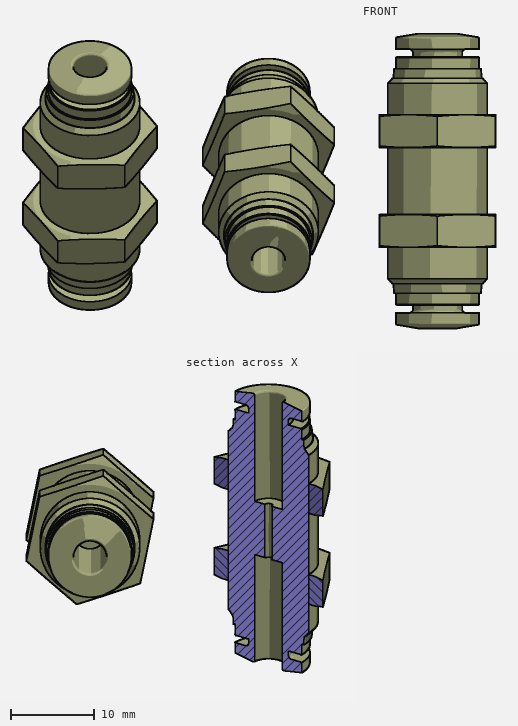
import cadquery as cq
import math

length = 35.5
half_length = length / 2

rim_diameter = 10.0
crown_height = 0.45
rim_edge_radius = 0.18
rim_bottom_depth = 1.88
neck_diameter = 5.95
neck_flare_radius = 0.43

collar_diameter = 10.0
collar_edge_diameter = 9.75
collar_edge_height = 0.1
collar_top_depth = 2.8
shoulder_top_depth = 4.22
shoulder_top_diameter = 10.47
shoulder_base_diameter = 10.7

barrel_diameter = 12.0
barrel_end_diameter = 10.8
barrel_end_depth = 5.35
barrel_chamfer_height = 0.65

socket_diameter = 3.98
socket_mouth_radius = 0.32
socket_mouth_diameter = socket_diameter + 2 * socket_mouth_radius
socket_depth = 14.2
passage_diameter = 1.0

nut_across_flats = 14.0
nut_across_corners = nut_across_flats / math.cos(math.pi / 6)
nut_height = 3.98
nut_top_depth = 9.75
nut_face_diameter = 13.7
nut_corner_drop = 0.2
nut_offset = half_length - nut_top_depth - nut_height / 2


def revolve_mirrored(upper_points):
    """Solid of revolution about Z, from an outline above the mid-plane and its mirror image."""
    lower_points = [(radius, -height) for radius, height in reversed(upper_points)]
    outline = upper_points + lower_points
    first_height = outline[0][1]
    return (
        cq.Workplane("XZ")
        .polyline([(0, first_height), *outline, (0, -first_height)])
        .close()
        .revolve(360, (0, 0, 0), (0, 1, 0))
    )


def make_end_profile():
    """Radius and height points of the upper half, from its mouth to the barrel."""
    diameters_and_depths = [
        (socket_mouth_diameter, 0),
        (rim_diameter, crown_height),
        (rim_diameter, rim_bottom_depth),
        (neck_diameter, rim_bottom_depth),
        (neck_diameter, collar_top_depth),
        (collar_edge_diameter, collar_top_depth),
        (collar_diameter, collar_top_depth + collar_edge_height),
        (collar_diameter, shoulder_top_depth),
        (shoulder_top_diameter, shoulder_top_depth),
        (shoulder_base_diameter, barrel_end_depth),
        (barrel_end_diameter, barrel_end_depth),
        (barrel_diameter, barrel_end_depth + barrel_chamfer_height),
    ]
    return [(diameter / 2, half_length - depth) for diameter, depth in diameters_and_depths]


def make_socket_cutter():
    """Cutter for the upper tube socket, with a rounded flare at its mouth."""
    socket_radius = socket_diameter / 2
    flare_bottom = half_length - socket_mouth_radius
    socket_floor = half_length - socket_depth
    arc_offset = socket_mouth_radius * (1 - math.sqrt(0.5))
    return (
        cq.Workplane("XZ")
        .moveTo(0, half_length)
        .lineTo(socket_mouth_diameter / 2, half_length)
        .threePointArc(
            (socket_radius + arc_offset, half_length - arc_offset),
            (socket_radius, flare_bottom),
        )
        .lineTo(socket_radius, socket_floor)
        .lineTo(0, socket_floor)
        .close()
        .revolve(360, (0, 0, 0), (0, 1, 0))
    )


def round_ring_edges(body, diameter, depth, radius):
    """Fillet the circular edges of a given diameter at a given depth from both ends."""
    tolerance = 0.0005

    def is_ring_edge(edge):
        same_size = edge.geomType() == "CIRCLE" and abs(edge.radius() - diameter / 2) < tolerance
        same_depth = abs(half_length - abs(edge.Center().z) - depth) < tolerance
        return same_size and same_depth

    return body.newObject(body.edges().filter(is_ring_edge).vals()).fillet(radius)


def make_fitting():
    """Hollow round fitting, with the same stepped outside and socket at each end."""
    body = revolve_mirrored(make_end_profile())
    body = round_ring_edges(body, rim_diameter, crown_height, rim_edge_radius)
    body = round_ring_edges(body, neck_diameter, rim_bottom_depth, neck_flare_radius)
    upper_socket = make_socket_cutter()
    passage = cq.Workplane("XY").circle(passage_diameter / 2).extrude(half_length, both=True)
    return body.cut(upper_socket).cut(upper_socket.mirror("XY")).cut(passage)


def make_nut(center_height):
    """Hexagon nut with corners along Y, conical corner chamfers and a bore that fits the barrel."""
    half_height = nut_height / 2
    face_radius = nut_face_diameter / 2
    corner_radius = nut_across_corners / 2
    corner_height = half_height - nut_corner_drop
    hexagon = (
        cq.Workplane("XY")
        .polygon(6, nut_across_corners)
        .extrude(half_height, both=True)
        .rotate((0, 0, 0), (0, 0, 1), 30)
    )
    chamfer_envelope = revolve_mirrored([
        (face_radius, half_height),
        (corner_radius, corner_height),
    ])
    bore = cq.Workplane("XY").circle(barrel_diameter / 2).extrude(half_height, both=True)
    return hexagon.intersect(chamfer_envelope).cut(bore).translate((0, 0, center_height))


fitting = make_fitting()
nuts = [make_nut(side * nut_offset) for side in (-1, 1)]

result = cq.Compound.makeCompound([fitting.val(), *[nut.val() for nut in nuts]])